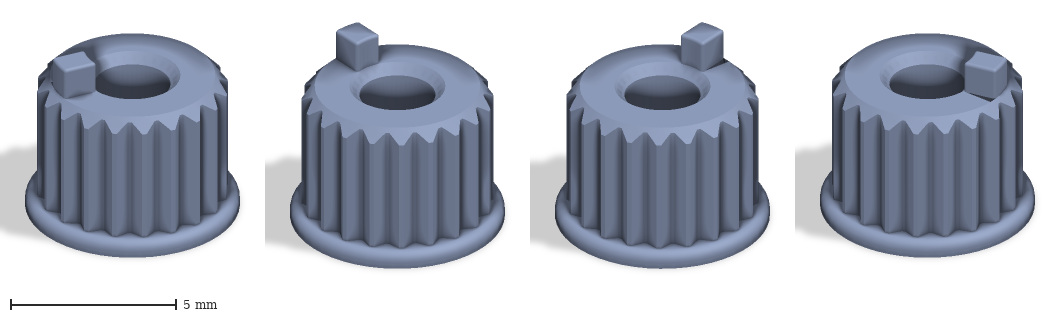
import cadquery as cq
import math

FLANGE_DIAMETER = 6.5
FLANGE_HEIGHT = 0.5
FLANGE_ROUNDING = 0.3

BODY_TOP = 4.5
TOOTH_COUNT = 20
TIP_RADIUS = 2.9
ROOT_RADIUS = 2.625
TIP_WIDTH = 0.14
ROOT_WIDTH = 0.11
TOP_FACE_RADIUS = 2.5

BORE_DIAMETER = 2.3
COUNTERSINK = 0.3

KEY_WIDTH = 0.9
KEY_TOP = 5.5
KEY_ROUNDING = 0.1


def polar_point(radius, angle):
    """Point in the XY plane at an angle in radians from +X."""
    return (radius * math.cos(angle), radius * math.sin(angle))


def make_flange():
    flange = cq.Workplane("XY").circle(FLANGE_DIAMETER / 2).extrude(FLANGE_HEIGHT)
    return flange.faces(">Z").edges().fillet(FLANGE_ROUNDING)


def make_toothed_body():
    """Splined prism; one tooth tip lies on each of the X and Y axes."""
    pitch = 2 * math.pi / TOOTH_COUNT
    tip_half_angle = math.asin(TIP_WIDTH / 2 / TIP_RADIUS)
    root_half_angle = math.asin(ROOT_WIDTH / 2 / ROOT_RADIUS)

    outline = cq.Workplane("XY").moveTo(*polar_point(TIP_RADIUS, -tip_half_angle))
    for tooth in range(TOOTH_COUNT):
        tip = tooth * pitch
        root = tip + pitch / 2
        next_tip_start = tip + pitch - tip_half_angle
        outline = (
            outline
            .threePointArc(polar_point(TIP_RADIUS, tip), polar_point(TIP_RADIUS, tip + tip_half_angle))
            .lineTo(*polar_point(ROOT_RADIUS, root - root_half_angle))
            .threePointArc(polar_point(ROOT_RADIUS, root), polar_point(ROOT_RADIUS, root + root_half_angle))
            .lineTo(*polar_point(TIP_RADIUS, next_tip_start))
        )
    prism = outline.close().extrude(BODY_TOP)

    envelope = (
        cq.Workplane("XY")
        .circle(TIP_RADIUS)
        .extrude(BODY_TOP)
        .faces(">Z")
        .chamfer(TIP_RADIUS - TOP_FACE_RADIUS)
    )
    return prism.intersect(envelope)


def make_bore_cutter():
    bore_radius = BORE_DIAMETER / 2
    return (
        cq.Workplane("XZ")
        .lineTo(bore_radius, 0)
        .lineTo(bore_radius, BODY_TOP - COUNTERSINK)
        .lineTo(bore_radius + COUNTERSINK, BODY_TOP)
        .lineTo(0, BODY_TOP)
        .close()
        .revolve(360, (0, 0), (0, 1))
    )


def make_key():
    """Slice of a ring on the -Y side, spanning the top face from countersink to rim."""
    key_height = KEY_TOP - BODY_TOP
    ring = (
        cq.Workplane("XY", origin=(0, 0, BODY_TOP))
        .circle(TOP_FACE_RADIUS)
        .circle(BORE_DIAMETER / 2 + COUNTERSINK)
        .extrude(key_height)
    )
    slab = (
        cq.Workplane("XY", origin=(0, 0, BODY_TOP))
        .center(0, -TOP_FACE_RADIUS / 2)
        .rect(KEY_WIDTH, TOP_FACE_RADIUS)
        .extrude(key_height)
    )
    return ring.intersect(slab).edges("|Z or >Z").fillet(KEY_ROUNDING)


result = make_flange().union(make_toothed_body()).cut(make_bore_cutter()).union(make_key())